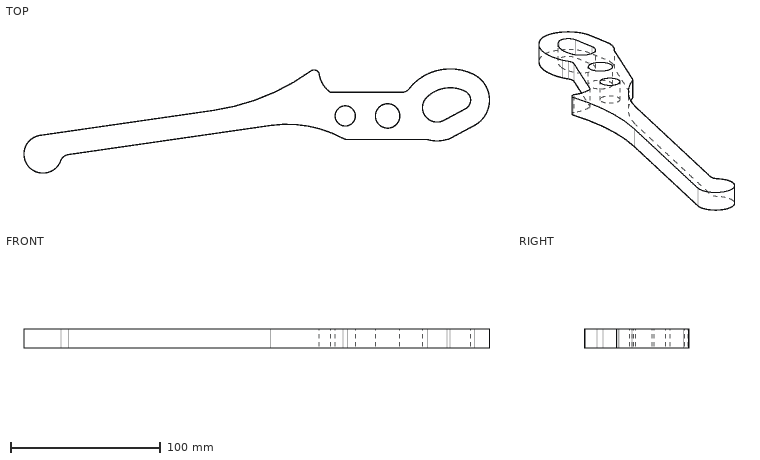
import cadquery as cq
import math

thickness = 12.8
bead_radius = 12.8

handle_angle = math.radians(8.2)
handle_width = 15.5
handle_top_end_x = 114.3
handle_bottom_end_x = 152.8
neck_fillet = 6.2

bar_middle_y = 25.5
bar_width = 32.0
bar_corner_fillet = 6.2
bar_top_y = bar_middle_y + bar_width / 2
bar_bottom_y = bar_middle_y - bar_width / 2
small_hole_x = 202.7
small_hole_diameter = 13.5
large_hole_x = 231.2
large_hole_diameter = 16.2

tip_start = (180.3, 56.2)
tip_crest = (182.0, 56.5)
tip_end = (185.3, 54.5)
stop_flank = (187.5, 47.5)
stop_foot_x = 192.8

eye_left = (264.3, 31.2)
eye_left_radius = 9.7
eye_right = (280.2, 36.2)
eye_right_radius = 6.5
eye_top_radius = 22.5
eye_wall = 12.8
head_fillet = 6.2


def point_at(center, radius, angle):
    return (center[0] + radius * math.cos(angle), center[1] + radius * math.sin(angle))


def handle_point(x, offset):
    """Point at x on a line parallel to the handle, offset from the bead centre."""
    return (x, x * math.tan(handle_angle) + offset / math.cos(handle_angle))


def angle_from(start, end):
    return math.atan2(end[1] - start[1], end[0] - start[0])


eye_spacing = math.dist(eye_left, eye_right)
eye_axis_angle = angle_from(eye_left, eye_right)
radius_step = eye_left_radius - eye_right_radius
lower_normal = eye_axis_angle - math.acos(radius_step / eye_spacing)
reach_left = eye_top_radius - eye_left_radius
reach_right = eye_top_radius - eye_right_radius
center_turn = math.acos(
    (reach_left**2 + eye_spacing**2 - reach_right**2) / (2 * reach_left * eye_spacing)
)
eye_top_center = point_at(eye_left, reach_left, eye_axis_angle - center_turn)
upper_left_normal = angle_from(eye_top_center, eye_left)
upper_right_normal = angle_from(eye_top_center, eye_right)


def eye_prism(growth):
    """Eye outline enlarged evenly by growth and extruded through the thickness."""
    left_radius = eye_left_radius + growth
    right_radius = eye_right_radius + growth
    top_radius = eye_top_radius + growth
    left_middle = (upper_left_normal + lower_normal + 2 * math.pi) / 2
    right_middle = (upper_right_normal + lower_normal) / 2
    top_middle = (upper_left_normal + upper_right_normal) / 2
    return (
        cq.Workplane("XY")
        .moveTo(*point_at(eye_left, left_radius, lower_normal))
        .lineTo(*point_at(eye_right, right_radius, lower_normal))
        .threePointArc(
            point_at(eye_right, right_radius, right_middle),
            point_at(eye_right, right_radius, upper_right_normal),
        )
        .threePointArc(
            point_at(eye_top_center, top_radius, top_middle),
            point_at(eye_left, left_radius, upper_left_normal),
        )
        .threePointArc(
            point_at(eye_left, left_radius, left_middle),
            point_at(eye_left, left_radius, lower_normal),
        )
        .close()
        .extrude(thickness)
    )


head_radius = eye_left_radius + eye_wall
head_tangent = point_at(eye_left, head_radius, lower_normal)
bar_corner_x = head_tangent[0] + (head_tangent[1] - bar_bottom_y) * math.tan(lower_normal)


def lever_body():
    """Handle, thumb stop and bar, ending inside the head."""
    handle_direction = (math.cos(handle_angle), math.sin(handle_angle))
    handle_bottom = bead_radius - handle_width
    bottom_start = cq.Vector(*handle_point(handle_bottom_end_x, handle_bottom))
    bottom_end = cq.Vector(small_hole_x, bar_bottom_y)
    bottom_arc = cq.Edge.makeTangentArc(bottom_start, cq.Vector(*handle_direction), bottom_end)
    bottom_middle = bottom_arc.positionAt(0.5).toTuple()[:2]
    return (
        cq.Workplane("XY")
        .moveTo(*point_at((0, 0), bead_radius, handle_angle + math.pi / 2))
        .lineTo(*handle_point(handle_top_end_x, bead_radius))
        .tangentArcPoint(tip_start, relative=False)
        .threePointArc(tip_crest, tip_end)
        .threePointArc(stop_flank, (stop_foot_x, bar_top_y))
        .lineTo(eye_left[0], bar_top_y)
        .lineTo(*eye_left)
        .lineTo(*head_tangent)
        .lineTo(bar_corner_x, bar_bottom_y)
        .lineTo(small_hole_x, bar_bottom_y)
        .threePointArc(bottom_middle, bottom_start.toTuple()[:2])
        .lineTo(*handle_point(0, handle_bottom))
        .close()
        .extrude(thickness)
    )


def fillet_corner(solid, corner, radius):
    """Round the vertical edge nearest to a corner of the outline."""
    nearest = cq.selectors.NearestToPointSelector((*corner, thickness / 2))
    return solid.edges("|Z").edges(nearest).fillet(radius)


body = lever_body()
for corner_x in (small_hole_x, bar_corner_x):
    body = fillet_corner(body, (corner_x, bar_bottom_y), bar_corner_fillet)

bead = cq.Workplane("XY").circle(bead_radius).extrude(thickness)
result = body.union(bead).union(eye_prism(eye_wall))

neck_angle = handle_angle + math.asin((bead_radius - handle_width) / bead_radius)
result = fillet_corner(result, point_at((0, 0), bead_radius, neck_angle), neck_fillet)
head_angle = math.pi - math.asin((bar_top_y - eye_left[1]) / head_radius)
result = fillet_corner(result, point_at(eye_left, head_radius, head_angle), head_fillet)

for hole_x, diameter in ((small_hole_x, small_hole_diameter), (large_hole_x, large_hole_diameter)):
    hole = cq.Workplane("XY").center(hole_x, bar_middle_y).circle(diameter / 2).extrude(thickness)
    result = result.cut(hole)
result = result.cut(eye_prism(0))